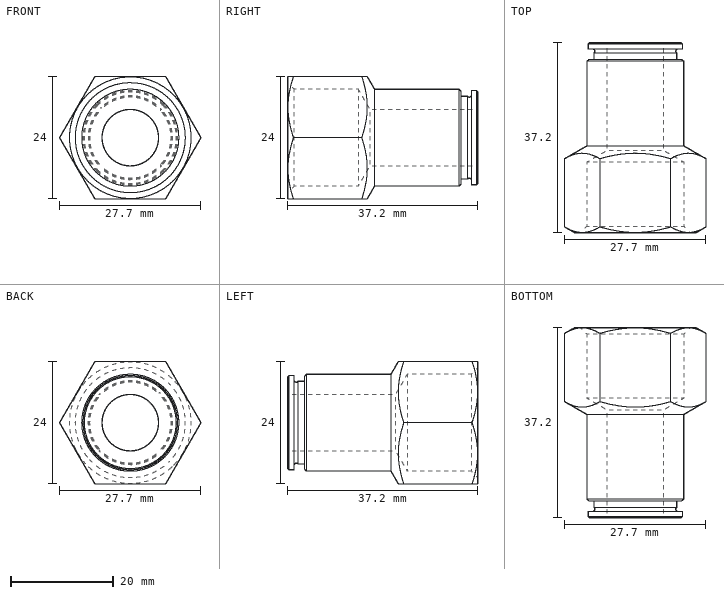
import cadquery as cq
import math

total_length = 37.2

across_flats = 24.0
across_corners = across_flats / math.cos(math.radians(30))
corner_slope = math.tan(math.radians(30))
hex_face_diameter = 23.8
shoulder_position = 17.0

sleeve_diameter = 19.0
sleeve_end = 33.93
sleeve_chamfer_length = 0.37
sleeve_tip_diameter = 18.15
neck_diameter = 16.25
groove_diameter = 15.9
groove_bottom_position = 35.5
neck_tip_diameter = 16.48
neck_straight_end = 35.15
collar_diameter = 18.5
collar_thickness = 1.25
collar_chamfer = 0.25

bore_diameter = 19.0
bore_mouth_diameter = 21.55
bore_chamfer_depth = 1.25
bore_depth = 13.8
through_diameter = 11.0


def revolve_about_y(profile):
    """Turn a closed XY profile a full circle around the Y axis."""
    return profile.close().revolve(360, (0, 0, 0), (0, 1, 0))


def make_hexagon():
    """Hexagonal nut body with conical chamfers on the corners at both ends."""
    prism = (
        cq.Workplane("XZ")
        .polygon(6, across_corners)
        .extrude(-shoulder_position)
    )
    corner_radius = across_corners / 2
    face_radius = hex_face_diameter / 2
    sleeve_radius = sleeve_diameter / 2
    front_drop = (corner_radius - face_radius) * corner_slope
    rear_drop = (corner_radius - sleeve_radius) * corner_slope
    envelope = revolve_about_y(
        cq.Workplane("XY")
        .moveTo(0, 0)
        .lineTo(face_radius, 0)
        .lineTo(corner_radius, front_drop)
        .lineTo(corner_radius, shoulder_position - rear_drop)
        .lineTo(sleeve_radius, shoulder_position)
        .lineTo(0, shoulder_position)
    )
    return prism.intersect(envelope)


def make_turned_end():
    """Sleeve, neck with a rounded groove, and collar behind the hexagon."""
    sleeve_radius = sleeve_diameter / 2
    neck_radius = neck_diameter / 2
    collar_radius = collar_diameter / 2
    collar_start = total_length - collar_thickness
    return revolve_about_y(
        cq.Workplane("XY")
        .moveTo(0, shoulder_position)
        .lineTo(sleeve_radius, shoulder_position)
        .lineTo(sleeve_radius, sleeve_end - sleeve_chamfer_length)
        .lineTo(sleeve_tip_diameter / 2, sleeve_end)
        .lineTo(neck_radius, sleeve_end)
        .lineTo(neck_radius, neck_straight_end)
        .threePointArc(
            (groove_diameter / 2, groove_bottom_position),
            (neck_tip_diameter / 2, collar_start),
        )
        .lineTo(collar_radius, collar_start)
        .lineTo(collar_radius, total_length - collar_chamfer)
        .lineTo(collar_radius - collar_chamfer, total_length)
        .lineTo(0, total_length)
    )


def make_bore():
    """Chamfered bore with a conical bottom leading into the through hole."""
    bore_radius = bore_diameter / 2
    through_radius = through_diameter / 2
    cone_depth = (bore_radius - through_radius) * corner_slope
    return revolve_about_y(
        cq.Workplane("XY")
        .moveTo(0, 0)
        .lineTo(bore_mouth_diameter / 2, 0)
        .lineTo(bore_radius, bore_chamfer_depth)
        .lineTo(bore_radius, bore_depth)
        .lineTo(through_radius, bore_depth + cone_depth)
        .lineTo(through_radius, total_length)
        .lineTo(0, total_length)
    )


result = make_hexagon().union(make_turned_end()).cut(make_bore())